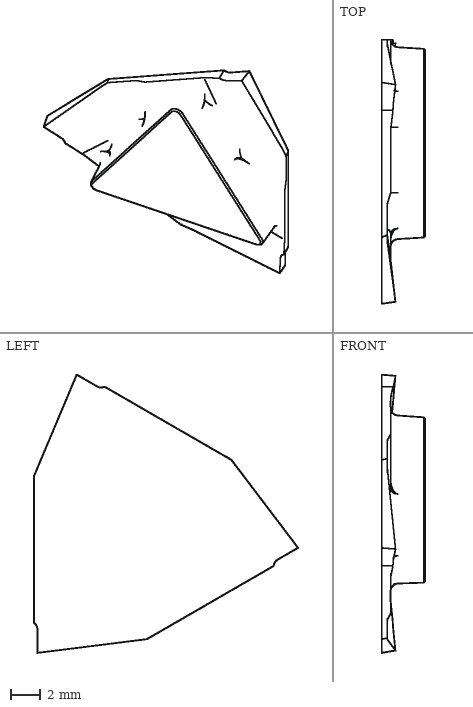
import math

import cadquery as cq

CORNERS = 3
CORNER_STEP = 360 / CORNERS

flat_distance = 7.1
flat_end_z = 3.35
tip_y = 6.86
tip_z = -8.767
notch_start_z = -6.706
notch_radius = 0.5
flank_clearance = 10

groove_height = 0.39
pad_height = 0.62
tip_height = 0.97
total_height = 3.0

rake_angle = 7
rake_direction = -55
rake_half_width = 7

pad_min_y = -3.4
pad_max_y = 1.1
pad_slope_run = 0.75

boss_flat_distance = 4.05
boss_draft = 2
boss_corner_radius = 0.5
pad_fillet = 0.5
groove_fillet = 0.65
boss_end_chamfer = 0.12

blank_half_width = 14
overrun = 1
trim_height = total_height + overrun


def turned(point, angle):
    """Rotate a (y, z) point about the X axis."""
    c = math.cos(math.radians(angle))
    s = math.sin(math.radians(angle))
    return (point[0] * c - point[1] * s, point[0] * s + point[1] * c)


def around_axis(solid):
    """Three copies of a solid around the X axis."""
    return [solid.rotate((0, 0, 0), (1, 0, 0), i * CORNER_STEP) for i in range(CORNERS)]


def plate_outline():
    """Trimming prism: three flats, notches, short flanks and long flanks."""
    step = flat_distance - tip_y
    notch_length = math.sqrt(2 * notch_radius * step - step**2)
    notch_angle = math.asin(notch_length / notch_radius)
    notch_end_z = notch_start_z - notch_length
    notch_mid = (
        tip_y + notch_radius * (1 - math.cos(notch_angle / 2)),
        notch_end_z + notch_radius * math.sin(notch_angle / 2),
    )
    flat_end = (flat_distance, flat_end_z)
    outline = cq.Workplane("YZ").moveTo(*turned(flat_end, -CORNER_STEP))
    for i in range(CORNERS):
        angle = i * CORNER_STEP
        outline = (
            outline.lineTo(*turned((tip_y, tip_z), angle))
            .lineTo(*turned((tip_y, notch_end_z), angle))
            .threePointArc(
                turned(notch_mid, angle),
                turned((flat_distance, notch_start_z), angle),
            )
        )
        if i < CORNERS - 1:
            outline = outline.lineTo(*turned(flat_end, angle))
    return outline.close().extrude(trim_height)


def flank_relief():
    """Wedge that leans the long flank inwards, away from the back face."""
    flank_end = turned((flat_distance, flat_end_z), -CORNER_STEP)
    along_y = tip_y - flank_end[0]
    along_z = tip_z - flank_end[1]
    flank_length = math.hypot(along_y, along_z)
    lean = tip_height * math.tan(math.radians(flank_clearance))
    plane = cq.Plane(
        origin=(0, *flank_end), xDir=(1, 0, 0), normal=(0, along_y, along_z)
    )
    return (
        cq.Workplane(plane)
        .workplane(offset=-overrun)
        .polyline([(0, 0), (tip_height, 0), (tip_height, -lean)])
        .close()
        .extrude(flank_length + 2 * overrun)
    )


def rake_wedge():
    """Material under the rake face of the tip that points to +Y, -Z."""
    slope = math.tan(math.radians(rake_angle))
    direction = math.radians(rake_direction)
    uphill = (0, math.cos(direction), math.sin(direction))
    run = tip_height / slope
    sideways = (0, uphill[2], -uphill[1])
    plane = cq.Plane(origin=(0, tip_y, tip_z), xDir=uphill, normal=sideways)
    return (
        cq.Workplane(plane)
        .polyline([
            (-run, 0),
            (overrun, 0),
            (overrun, tip_height + overrun * slope),
        ])
        .close()
        .extrude(rake_half_width, both=True)
    )


def boss():
    """Drafted triangular boss with a vertex on +Z and rounded edges between its sides."""
    triangle = [turned((0, 2 * boss_flat_distance), i * CORNER_STEP) for i in range(CORNERS)]
    return (
        cq.Workplane("YZ")
        .polyline(triangle)
        .close()
        .extrude(total_height, taper=boss_draft)
        .edges("not #X")
        .fillet(boss_corner_radius)
        .faces(">X")
        .chamfer(boss_end_chamfer)
    )


def boss_on_floor(floor_height, foot_fillet):
    """Oversized plate blank of the given thickness with the boss blended into it."""
    blank_width = 2 * blank_half_width
    blank = cq.Workplane("YZ").rect(blank_width, blank_width).extrude(floor_height)
    reach = 2 * boss_flat_distance
    foot = cq.selectors.BoxSelector(
        (floor_height / 2, -reach, -reach),
        (floor_height * 3 / 2, reach, reach),
    )
    return blank.union(boss()).edges(foot).fillet(foot_fillet)


def pad_zone():
    """Strip with sloping lower sides, running outwards under the +Z boss vertex."""
    zone_top = pad_height + pad_fillet
    foot_min_y = pad_min_y - pad_slope_run
    foot_max_y = pad_max_y + pad_slope_run
    return (
        cq.Workplane("XY")
        .polyline([
            (0, foot_min_y),
            (groove_height, foot_min_y),
            (pad_height, pad_min_y),
            (zone_top, pad_min_y),
            (zone_top, pad_max_y),
            (pad_height, pad_max_y),
            (groove_height, foot_max_y),
            (0, foot_max_y),
        ])
        .close()
        .extrude(blank_half_width)
    )


body = boss_on_floor(groove_height, groove_fillet)
pad_level = boss_on_floor(pad_height, pad_fillet)
for zone in around_axis(pad_zone()):
    body = body.union(pad_level.intersect(zone))

for wedge in around_axis(rake_wedge()):
    body = body.union(wedge)
body = body.intersect(plate_outline())
for relief in around_axis(flank_relief()):
    body = body.cut(relief)

result = body